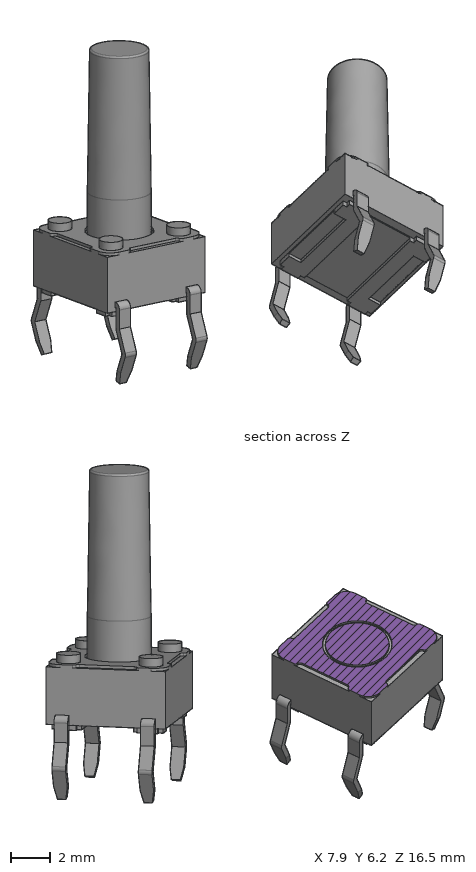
import cadquery as cq
import math

TOTAL_HEIGHT = 16.5
PIN_REACH = 3.5
STEM_TOP = TOTAL_HEIGHT - PIN_REACH
FOOT_HEIGHT = 0.21
BODY_BOTTOM = 0.3
COVER_THICKNESS = 0.15
COVER_TOP = 3.4
BODY_TOP = COVER_TOP - COVER_THICKNESS
STUD_TOP = 3.83
STEM_STRAIGHT_TOP = 5.48

BODY_SIDE = 6.2
COVER_CORNER_RADIUS = 0.75
NOTCH_FLOOR_LENGTH = 2.84
NOTCH_RIM_LENGTH = 3.43
NOTCH_DEPTH = 0.26
STEM_HOLE_DIAMETER = 3.5

STUD_DIAMETER = 1.2
STUD_OFFSET = 2.15
STEM_DIAMETER = 3.25
STEM_TOP_DIAMETER = 3.02
STEM_EDGE_RADIUS = 0.1

BASE_SIDE = 5.78
EAR_LENGTH = 0.23
EAR_INNER_Y = 1.58
EAR_OUTER_Y = 2.65
FEET_GAP = 2.7
FOOT_RECESS_LENGTH = 3.8
FOOT_RECESS_DEPTH = 0.75

PIN_SPAN = 7.9
PIN_THICKNESS = 0.3
PIN_WIDTH = 0.71
PIN_TIP_WIDTH = 0.43
PIN_Y = 2.25
PIN_INNER_X = 3.15
PIN_TOP = 0.81
KNEE_Z = -1.82
PIN_ROOT_DEPTH = 0.16
PIN_ANGLE = math.radians(22.5)
PIN_TAPER_HEIGHT = 0.7


def notch_cutter():
    """Cutter for the +Y notch, each end an S of two equal arcs tangent to floor and rim."""
    rim_y = BODY_SIDE / 2
    floor_half = NOTCH_FLOOR_LENGTH / 2
    rim_half = NOTCH_RIM_LENGTH / 2
    half = (
        cq.Workplane("XY")
        .workplane(offset=BODY_TOP)
        .moveTo(0, rim_y - NOTCH_DEPTH)
        .lineTo(floor_half, rim_y - NOTCH_DEPTH)
        .tangentArcPoint(((floor_half + rim_half) / 2, rim_y - NOTCH_DEPTH / 2), relative=False)
        .tangentArcPoint((rim_half, rim_y), relative=False)
        .lineTo(0, rim_y)
        .close()
        .extrude(COVER_THICKNESS)
    )
    return half.union(half.mirror("YZ"))


def make_cover():
    """Thin cover with rounded corners, a shallow notch on each side and a stem hole."""
    cover = (
        cq.Workplane("XY")
        .workplane(offset=BODY_TOP)
        .rect(BODY_SIDE, BODY_SIDE)
        .extrude(COVER_THICKNESS)
        .edges("|Z")
        .fillet(COVER_CORNER_RADIUS)
    )
    notch = notch_cutter()
    for quarter in range(4):
        cover = cover.cut(notch.rotate((0, 0, 0), (0, 0, 1), 90 * quarter))
    return cover.faces(">Z").workplane().hole(STEM_HOLE_DIAMETER)


def make_studs():
    """Four round studs standing on the cover."""
    return (
        cq.Workplane("XY")
        .workplane(offset=BODY_TOP)
        .rect(2 * STUD_OFFSET, 2 * STUD_OFFSET, forConstruction=True)
        .vertices()
        .circle(STUD_DIAMETER / 2)
        .extrude(STUD_TOP - BODY_TOP)
    )


def make_stem():
    """Push stem: straight at the foot, then slightly conical with a rounded top edge."""
    return (
        cq.Workplane("XZ")
        .moveTo(0, BODY_TOP)
        .lineTo(STEM_DIAMETER / 2, BODY_TOP)
        .lineTo(STEM_DIAMETER / 2, STEM_STRAIGHT_TOP)
        .lineTo(STEM_TOP_DIAMETER / 2, STEM_TOP)
        .lineTo(0, STEM_TOP)
        .close()
        .revolve(360, (0, 0, 0), (0, 1, 0))
        .edges(">Z")
        .fillet(STEM_EDGE_RADIUS)
    )


def make_base():
    """Thin base plate with two ears on each X side, standing on four feet cut from the same outline."""
    ear_center_y = (EAR_INNER_Y + EAR_OUTER_Y) / 2
    base = cq.Workplane("XY").rect(BASE_SIDE - 2 * EAR_LENGTH, BASE_SIDE).extrude(BODY_BOTTOM)
    for side in (-1, 1):
        ears = (
            cq.Workplane("XY")
            .center(0, side * ear_center_y)
            .rect(BASE_SIDE, EAR_OUTER_Y - EAR_INNER_Y)
            .extrude(BODY_BOTTOM)
        )
        base = base.union(ears)
        recess = (
            cq.Workplane("XY")
            .center(0, side * BASE_SIDE / 2)
            .rect(FOOT_RECESS_LENGTH, 2 * FOOT_RECESS_DEPTH)
            .extrude(FOOT_HEIGHT)
        )
        base = base.cut(recess)
    channel = cq.Workplane("XY").rect(BASE_SIDE, FEET_GAP).extrude(FOOT_HEIGHT)
    return base.cut(channel)


def make_pin():
    """Bent terminal on the +X side: out of the body, down, kinked outward, back in to a tapered tip."""
    sin_a = math.sin(PIN_ANGLE)
    cos_a = math.cos(PIN_ANGLE)
    outer_x = PIN_INNER_X + PIN_THICKNESS

    shoulder_x = BODY_SIDE / 2
    shoulder_outer_radius = outer_x - shoulder_x
    shoulder_inner_radius = PIN_INNER_X - shoulder_x
    shoulder_z = PIN_TOP - shoulder_outer_radius
    outer_diagonal = shoulder_outer_radius * math.sqrt(0.5)
    inner_diagonal = shoulder_inner_radius * math.sqrt(0.5)
    root_x = shoulder_x - PIN_ROOT_DEPTH

    knee_x = PIN_SPAN / 2 - PIN_THICKNESS
    tip_outer_z = -PIN_REACH
    tip_inner_z = tip_outer_z + PIN_THICKNESS * sin_a
    tip_inner_x = knee_x - (KNEE_Z - tip_inner_z) * math.tan(PIN_ANGLE)
    tip_outer_x = tip_inner_x + PIN_THICKNESS * cos_a

    bend_inner_z = KNEE_Z + (knee_x - PIN_INNER_X) / math.tan(PIN_ANGLE)
    bend_outer_z = bend_inner_z + PIN_THICKNESS * math.tan(PIN_ANGLE / 2)

    strip = (
        cq.Workplane("XZ")
        .moveTo(root_x, PIN_TOP)
        .lineTo(shoulder_x, PIN_TOP)
        .threePointArc(
            (shoulder_x + outer_diagonal, shoulder_z + outer_diagonal),
            (outer_x, shoulder_z),
        )
        .lineTo(outer_x, bend_outer_z)
        .lineTo(knee_x + PIN_THICKNESS * cos_a, KNEE_Z + PIN_THICKNESS * sin_a)
        .threePointArc(
            (knee_x + PIN_THICKNESS, KNEE_Z),
            (knee_x + PIN_THICKNESS * cos_a, KNEE_Z - PIN_THICKNESS * sin_a),
        )
        .lineTo(tip_outer_x, tip_outer_z)
        .lineTo(tip_inner_x, tip_inner_z)
        .lineTo(knee_x, KNEE_Z)
        .lineTo(PIN_INNER_X, bend_inner_z)
        .lineTo(PIN_INNER_X, shoulder_z)
        .threePointArc(
            (shoulder_x + inner_diagonal, shoulder_z + inner_diagonal),
            (shoulder_x, shoulder_z + shoulder_inner_radius),
        )
        .lineTo(root_x, shoulder_z + shoulder_inner_radius)
        .close()
        .extrude(PIN_WIDTH / 2, both=True)
    )
    taper_z = PIN_TAPER_HEIGHT - PIN_REACH
    width_outline = (
        cq.Workplane("YZ")
        .polyline(
            [
                (-PIN_WIDTH / 2, PIN_TOP),
                (-PIN_WIDTH / 2, taper_z),
                (-PIN_TIP_WIDTH / 2, -PIN_REACH),
                (PIN_TIP_WIDTH / 2, -PIN_REACH),
                (PIN_WIDTH / 2, taper_z),
                (PIN_WIDTH / 2, PIN_TOP),
            ]
        )
        .close()
        .extrude(PIN_SPAN)
    )
    return strip.intersect(width_outline)


def make_body():
    """Square switch housing."""
    return (
        cq.Workplane("XY")
        .workplane(offset=BODY_BOTTOM)
        .rect(BODY_SIDE, BODY_SIDE)
        .extrude(BODY_TOP - BODY_BOTTOM)
    )


result = make_body()
for piece in (make_cover(), make_studs(), make_stem(), make_base()):
    result = result.union(piece)

right_pin = make_pin()
left_pin = right_pin.mirror("YZ")
for pin in (right_pin, left_pin):
    for side in (-1, 1):
        result = result.union(pin.translate((0, side * PIN_Y, 0)))